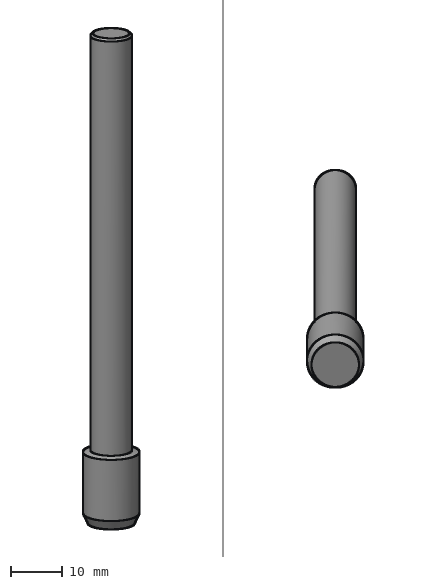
import cadquery as cq

total_length = 100.0

head_diameter = 11.1
head_height = 14.9
nose_height = 2.0
nose_inset = 0.9
shoulder_rise = 0.4

rod_diameter = 8.2
rod_chamfer = 0.5

head_radius = head_diameter / 2
rod_radius = rod_diameter / 2


def make_head():
    """Revolve the head: nose cone, cylinder, sloped shoulder and a flat seat for the rod."""
    return (
        cq.Workplane("XZ")
        .moveTo(0, 0)
        .lineTo(head_radius - nose_inset, 0)
        .lineTo(head_radius, nose_height)
        .lineTo(head_radius, head_height - shoulder_rise)
        .lineTo(rod_radius, head_height)
        .lineTo(0, head_height)
        .close()
        .revolve(360, (0, 0, 0), (0, 1, 0))
    )


def make_rod():
    """Cylinder from the head's seat to the top, with a chamfered upper end."""
    return (
        cq.Workplane("XY")
        .workplane(offset=head_height)
        .circle(rod_radius)
        .extrude(total_length - head_height)
        .faces(">Z")
        .chamfer(rod_chamfer)
    )


head = make_head()
rod = make_rod()

result = cq.Compound.makeCompound([head.val(), rod.val()])